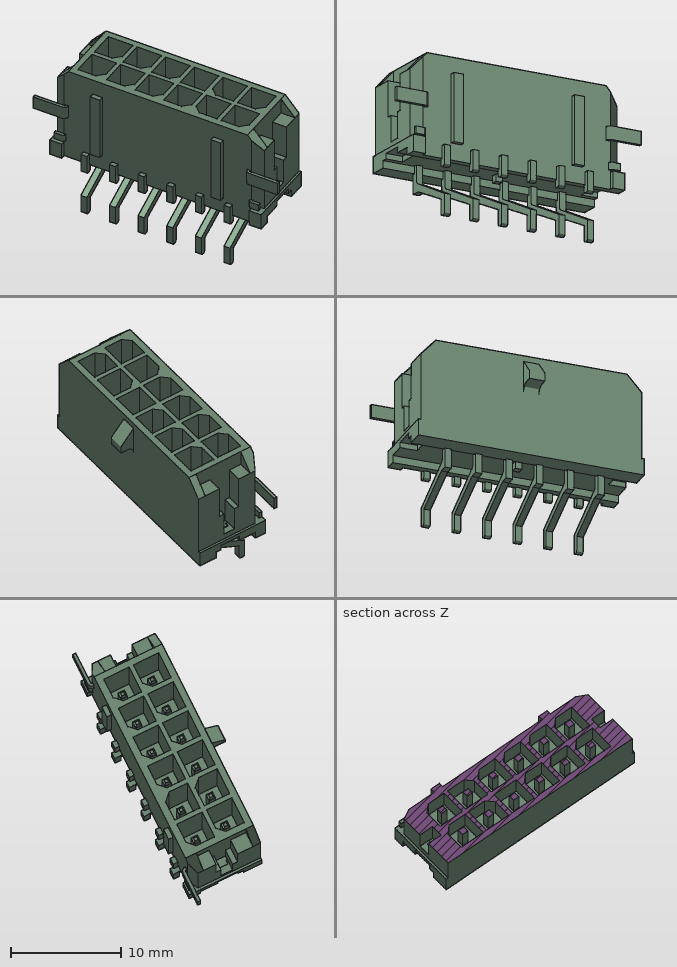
import cadquery as cq


housing_depth = 6.9
housing_height = 9.9
end_x = 10.85
core_x = 9.4
shoulder_z = 8.28
corner_x = 9.82
corner_depth = 0.55

flange_x = 11.08
flange_height = 1.65
front_reach = 0.45
channel_front_y = 0.7
channel_rear_y = 5.05
channel_height = 0.72
notch_y = (2.45, 4.51)
notch_top_z = 1.25

top_recess_y = (1.1, 6.13)
wide_slot_y = (2.39, 4.57)
wide_slot_z = 4.8
narrow_slot_y = (2.87, 4.05)
narrow_slot_z = 2.25
floor_pocket_depth = 0.08
floor_pocket_step_x = 9.8
floor_pocket_x = 10.15
floor_pocket_y = (3.1, 3.92)

columns = 6
pitch = 3.0
column_x = [(i - (columns - 1) / 2) * pitch for i in range(columns)]
front_row_y = 1.98
rear_row_y = front_row_y + pitch
pin = 0.65
pin_tip_radius = 0.23
contact_tip_z = 6.15
contact_tip_height = 0.38
contact_tip = 0.3
overlap = 0.2

cavity = 2.56
cavity_floor_z = 2.25
cavity_chamfer = 0.7
left_keyed_column = 4
square_column = 3

front_pin_top_z = 1.23
front_pin_bottom_z = -0.8
rear_pin_y = 5.28
rear_pin_bottom_z = -5.5
rear_bend_z = -1.92
elbow_flat = 0.87
lower_bend_z = -3.87
lower_outer_bend_z = -3.5
upper_inner_bend_z = -1.03
upper_inner_bend_radius = 0.38

rib_x = 6.34
rib_width = 1.03
latch_width = 1.51
latch_reach = 1.4
latch_top_z = 9.3
latch_nose_z = 7.77
latch_under_z = 6.98
latch_root_radius = 0.72
latch_nose_radius = 0.18
standoff_y = (front_row_y + rear_row_y) / 2

tab_thickness = 0.3
tab_tip_x = 12.82
tab_root_x = 9.4
tab_bend_radius = 0.44
tab_z = (4.65, 5.95)
clip_tip_x = 10.72
clip_root_x = 9.62
clip_bend_radius = 0.3
clip_z = (1.85, 2.55)
clip_front_y = -0.3


def box(x, y, z):
    """Box between the given (low, high) limits on each axis."""
    size = (x[1] - x[0], y[1] - y[0], z[1] - z[0])
    return cq.Workplane("XY").box(*size, centered=False).translate((x[0], y[0], z[0]))


def both_ends(solid):
    """The solid together with its copy mirrored to the other end."""
    return solid.union(solid.mirror("YZ"))


def make_housing():
    body = (
        cq.Workplane("XZ")
        .polyline([
            (-end_x, 0), (end_x, 0), (end_x, shoulder_z), (core_x, housing_height),
            (-core_x, housing_height), (-end_x, shoulder_z),
        ])
        .close()
        .extrude(-housing_depth)
    )
    corner = (
        cq.Workplane("XY")
        .polyline([(corner_x, 0), (end_x, 0), (end_x, corner_depth)])
        .close()
        .extrude(housing_height)
    )
    flange = box((-flange_x, flange_x), (0, housing_depth), (0, flange_height))
    foot = box((corner_x, flange_x), (-front_reach, overlap), (0, flange_height))
    channel = box((-flange_x, flange_x), (channel_front_y, channel_rear_y), (0, channel_height))
    notch = box((core_x, flange_x), notch_y, (0, notch_top_z))
    return (
        body.cut(both_ends(corner)).union(flange).union(both_ends(foot))
        .cut(channel).cut(both_ends(notch))
    )


def make_end_recess():
    """Stepped guide recess at the +X end, with a shallow T-shaped pocket in its floor."""
    recess = box((core_x, end_x), top_recess_y, (shoulder_z, housing_height))
    recess = recess.union(box((core_x, end_x), wide_slot_y, (wide_slot_z, housing_height)))
    recess = recess.union(box((core_x, end_x), narrow_slot_y, (narrow_slot_z, housing_height)))
    pocket_z = (narrow_slot_z - floor_pocket_depth, narrow_slot_z)
    recess = recess.union(box((core_x, floor_pocket_step_x), narrow_slot_y, pocket_z))
    return recess.union(box((core_x, floor_pocket_x), floor_pocket_y, pocket_z))


def make_cavity(keyed_edge):
    """Square cavity centred on Z, one front corner chamfered ("<X", ">X") or none (None)."""
    hole = cq.Workplane("XY").rect(cavity, cavity).extrude(housing_height - cavity_floor_z)
    if keyed_edge:
        hole = hole.edges("|Z").edges("<Y").edges(keyed_edge).chamfer(cavity_chamfer)
    return hole.translate((0, 0, cavity_floor_z))


def make_contact():
    """Square contact standing on the cavity floor, with a tapered tip."""
    base_z = cavity_floor_z - overlap
    shank_top_z = contact_tip_z - contact_tip_height
    shank = cq.Workplane("XY", origin=(0, 0, base_z)).rect(pin, pin).extrude(shank_top_z - base_z)
    tip = (
        cq.Workplane("XY", origin=(0, 0, shank_top_z))
        .rect(pin, pin)
        .workplane(offset=contact_tip_height)
        .rect(contact_tip, contact_tip)
        .loft()
    )
    return shank.union(tip)


def make_front_pin():
    post = box(
        (-pin / 2, pin / 2), (-front_reach, pin - front_reach), (front_pin_bottom_z, front_pin_top_z)
    )
    return post.edges("|X and <Z").fillet(pin_tip_radius)


def make_rear_pin():
    """Pin that drops from the channel, slopes to the front and drops again."""
    upper_front_y = rear_pin_y - pin
    lower_rear_y = pin - front_reach
    wire = (
        cq.Workplane("YZ")
        .polyline([
            (rear_pin_y, channel_height + overlap), (rear_pin_y, rear_bend_z),
            (rear_pin_y - elbow_flat, rear_bend_z), (lower_rear_y, lower_bend_z),
            (lower_rear_y, rear_pin_bottom_z), (-front_reach, rear_pin_bottom_z),
            (-front_reach, lower_outer_bend_z), (upper_front_y, upper_inner_bend_z),
            (upper_front_y, channel_height + overlap),
        ])
        .close()
        .extrude(pin / 2, both=True)
        .edges("|X and <Z")
        .fillet(pin_tip_radius)
    )
    inner_bend = cq.selectors.NearestToPointSelector((0, upper_front_y, upper_inner_bend_z))
    return wire.edges("|X").edges(inner_bend).fillet(upper_inner_bend_radius)


def make_latch():
    """Ramped catch on the rear wall, hollow-rounded where its underside meets the wall."""
    nose_y = housing_depth + latch_reach
    root_z = latch_under_z - latch_root_radius
    catch = (
        cq.Workplane("YZ")
        .moveTo(housing_depth - overlap, latch_top_z)
        .lineTo(housing_depth, latch_top_z)
        .lineTo(nose_y, latch_nose_z)
        .lineTo(nose_y, latch_under_z)
        .lineTo(housing_depth + latch_root_radius, latch_under_z)
        .radiusArc((housing_depth, root_z), -latch_root_radius)
        .lineTo(housing_depth - overlap, root_z)
        .close()
        .extrude(latch_width / 2, both=True)
    )
    nose = cq.selectors.NearestToPointSelector((0, nose_y, latch_nose_z))
    return catch.edges("|X").edges(nose).fillet(latch_nose_radius)


def make_tab(root_x, tip_x, front_y, z, bend_radius):
    """L-bent strip at the +X end: a leg into the front wall and an arm outwards, rounded bend."""
    leg = box((root_x, root_x + tab_thickness), (front_y, overlap), z)
    arm = box((root_x, tip_x), (front_y, front_y + tab_thickness), z)
    return leg.union(arm).edges("|Z and <X and <Y").fillet(bend_radius)


housing = make_housing().cut(both_ends(make_end_recess()))

for column, x in enumerate(column_x):
    side = "<X" if column == left_keyed_column else ">X"
    rear_side = None if column == square_column else side
    housing = housing.cut(make_cavity(side).translate((x, front_row_y, 0)))
    housing = housing.cut(make_cavity(rear_side).translate((x, rear_row_y, 0)))

for x in column_x:
    for row_y in (front_row_y, rear_row_y):
        housing = housing.union(make_contact().translate((x, row_y, 0)))
    housing = housing.union(make_front_pin().translate((x, 0, 0)))
    housing = housing.union(make_rear_pin().translate((x, 0, 0)))

rib = box(
    (rib_x - rib_width / 2, rib_x + rib_width / 2), (-front_reach, overlap), (flange_height, shoulder_z)
)
standoff = box(
    (-pin / 2, pin / 2), (standoff_y - pin / 2, standoff_y + pin / 2), (0, channel_height + overlap)
)
tab = make_tab(tab_root_x, tab_tip_x, -front_reach, tab_z, tab_bend_radius)
clip = make_tab(clip_root_x, clip_tip_x, clip_front_y, clip_z, clip_bend_radius)

result = (
    housing.union(both_ends(rib)).union(make_latch()).union(standoff)
    .union(both_ends(tab)).union(both_ends(clip))
)